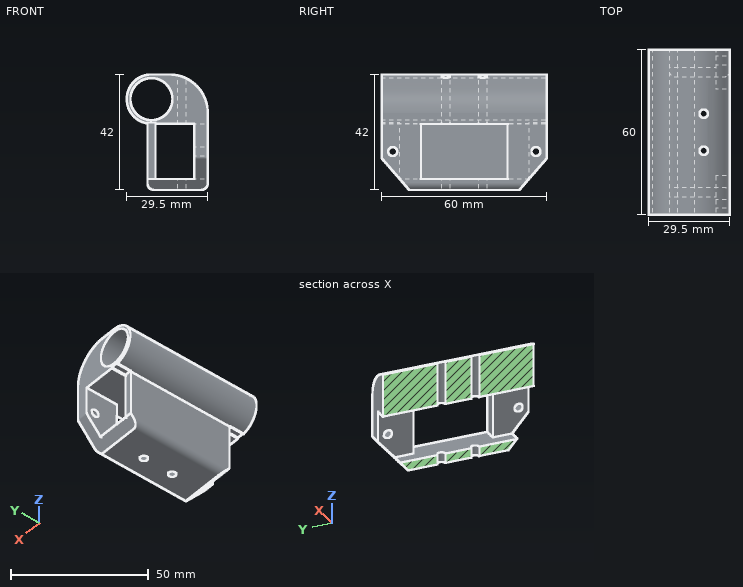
import cadquery as cq

length = 60
width = 29.5
height = 42

tube_radius = 9
bore_diameter = 15.2
shoulder_radius = 14.05
shoulder_bottom = height - 2 * tube_radius
tube_z = height - tube_radius

box_left = 7.5
thin_wall = 3
thick_wall = 5.0
floor = 4.0
box_edge_radius = 2.5
cavity_left = box_left + thin_wall
cavity_right = width - thick_wall

tab_length = 14.3

slope_run = 10.0
slope_rise = 11.5
slope_blend_radius = 1.0

relief_depth = slope_run * (1 - floor / slope_rise)
relief_top = shoulder_bottom + 0.5

top_hole_diameter = 3
top_hole_x = 20.0
top_hole_spacing = 13.45
side_hole_diameter = 3.2
side_hole_inset = 4.0
side_hole_z = 14.0


def block(x_min, x_max, y_min, y_max, z_min, z_max):
    """Box between the given limits."""
    size = (x_max - x_min, y_max - y_min, z_max - z_min)
    return cq.Workplane("XY").box(*size, centered=False).translate((x_min, y_min, z_min))


def make_upper_body():
    """Tube joined to a shoulder with one large rounded edge."""
    tube = (
        cq.Workplane("XZ")
        .center(tube_radius, tube_z)
        .circle(tube_radius)
        .extrude(length / 2, both=True)
    )
    shoulder = block(tube_radius, width, -length / 2, length / 2, shoulder_bottom, height)
    shoulder = shoulder.edges("|Y and >X and >Z").fillet(shoulder_radius)
    return tube.union(shoulder)


def make_lower_box():
    """Box with rounded long edges, cut to the sloping end profile."""
    box = block(box_left, width, -length / 2, length / 2, 0, tube_z - bore_diameter / 2)
    box = box.edges("|Y and <Z").fillet(box_edge_radius)
    profile = (
        cq.Workplane("YZ")
        .moveTo(-length / 2 + slope_run, 0)
        .lineTo(length / 2 - slope_run, 0)
        .lineTo(length / 2, slope_rise)
        .lineTo(length / 2, height)
        .lineTo(-length / 2, height)
        .lineTo(-length / 2, slope_rise)
        .close()
        .extrude(width)
    )
    upper_corners = profile.faces(">Y or <Y").edges("|X").edges("not >Z")
    profile = upper_corners.fillet(slope_blend_radius)
    return box.intersect(profile)


def make_bore():
    """Bore along the whole tube."""
    return (
        cq.Workplane("XZ")
        .center(tube_radius, tube_z)
        .circle(bore_diameter / 2)
        .extrude(length / 2, both=True)
    )


def make_end_reliefs():
    """Cutters removing the thin wall at both ends."""
    inner_y = length / 2 - relief_depth
    back = block(box_left, cavity_left, inner_y, length / 2, floor, relief_top)
    return back.union(back.mirror("XZ"))


def make_top_holes():
    """Vertical screw holes through the shoulder and the floor."""
    return (
        cq.Workplane("XY")
        .center(top_hole_x, 0)
        .rarray(0.6, top_hole_spacing, 1, 2)
        .circle(top_hole_diameter / 2)
        .extrude(height)
    )


def make_side_holes():
    """Horizontal holes through the thick wall near both ends."""
    return (
        cq.Workplane("YZ", origin=(cavity_left, 0, side_hole_z))
        .rarray(length - 2 * side_hole_inset, 0.6, 2, 1)
        .circle(side_hole_diameter / 2)
        .extrude(width - cavity_left)
    )


cavity = block(cavity_left, cavity_right, -length / 2, length / 2, floor, shoulder_bottom)
window_end = length / 2 - tab_length
window = block(cavity_right, width, -window_end, window_end, floor, shoulder_bottom)

result = (
    make_upper_body()
    .union(make_lower_box())
    .cut(cavity)
    .cut(window)
    .cut(make_bore())
    .cut(make_end_reliefs())
    .cut(make_top_holes())
    .cut(make_side_holes())
)